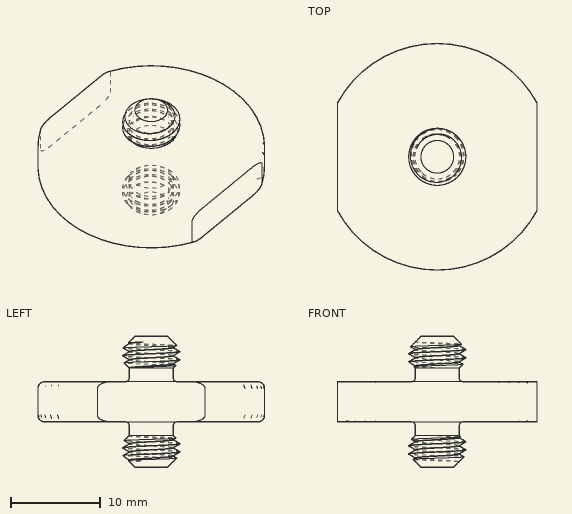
import cadquery as cq
import math

disc_diameter = 25.25
width_across_flats = 22.23
disc_thickness = 4.5
rim_fillet = 0.75

stud_length = 5.05
neck_radius = 2.48
neck_length = 1.52
neck_fillet = 0.38
tip_radius = 1.82

thread_radius = 3.18
thread_pitch = 0.9
thread_half_angle = math.radians(30)
root_flat = 0.05
root_clearance = 0.005
groove_overshoot = 0.03
groove_turns = 4
groove_end_depth = 0.58
seam_angle = 130

half_thickness = disc_thickness / 2
stud_top = half_thickness + stud_length


def make_disc():
    """Round disc with filleted rims, then trimmed by the two flats."""
    disc = cq.Workplane("XY").circle(disc_diameter / 2).extrude(half_thickness, both=True)
    disc = disc.edges().fillet(rim_fillet)
    flats = cq.Workplane("XY").box(width_across_flats, disc_diameter, disc_thickness)
    return disc.intersect(flats)


def make_stud_blank():
    """Unthreaded upper stud: filleted foot, neck, and chamfered thread body."""
    neck_top = half_thickness + neck_length
    lead_in = thread_radius - neck_radius
    tip_chamfer = thread_radius - tip_radius
    foot_radius = neck_radius + neck_fillet
    fillet_middle = neck_fillet * (1 - math.sqrt(0.5))
    return (
        cq.Workplane("XZ")
        .lineTo(foot_radius, 0)
        .lineTo(foot_radius, half_thickness)
        .threePointArc(
            (neck_radius + fillet_middle, half_thickness + fillet_middle),
            (neck_radius, half_thickness + neck_fillet),
        )
        .lineTo(neck_radius, neck_top)
        .lineTo(thread_radius, neck_top + lead_in)
        .lineTo(thread_radius, stud_top - tip_chamfer)
        .lineTo(tip_radius, stud_top)
        .lineTo(0, stud_top)
        .close()
        .revolve(360, (0, 0, 0), (0, 1, 0))
        .rotate((0, 0, 0), (0, 0, 1), seam_angle)
    )


def make_thread_groove():
    """Helical V cutter that starts and ends on the -X side."""
    height = groove_turns * thread_pitch
    root_radius = neck_radius + root_clearance
    outer_radius = thread_radius + groove_overshoot
    half_root = root_flat / 2
    half_mouth = half_root + (outer_radius - root_radius) * math.tan(thread_half_angle)
    path = cq.Workplane(cq.Wire.makeHelix(thread_pitch, height, root_radius))
    groove = (
        cq.Workplane("XZ")
        .moveTo(root_radius, -half_root)
        .lineTo(outer_radius, -half_mouth)
        .lineTo(outer_radius, half_mouth)
        .lineTo(root_radius, half_root)
        .close()
        .sweep(path, isFrenet=True)
    )
    start_height = stud_top - groove_end_depth - height
    return groove.rotate((0, 0, 0), (0, 0, 1), 180).translate((0, 0, start_height))


upper_stud = make_stud_blank().cut(make_thread_groove())
lower_stud = upper_stud.rotate((0, 0, 0), (0, 1, 0), 180)
result = make_disc().union(upper_stud).union(lower_stud)